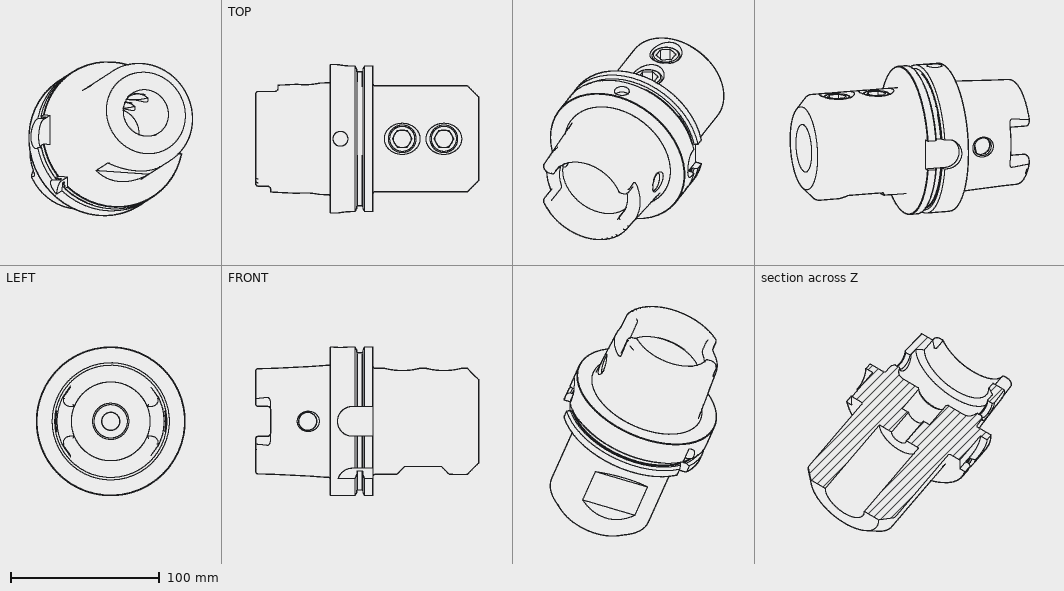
import cadquery as cq
import math


shank_length = 50.0
taper_big_radius = 75.46 / 2
taper_end_gap = 2.3
taper_slope = 1 / 20
shank_tip_radius = taper_big_radius - (shank_length - taper_end_gap) * taper_slope
tip_fillet = 1.75

face_recess_radius = 39.4
face_recess_depth = 0.1
shank_root_fillet = 1.1

flange_radius = 100.0 / 2
flange_width = 29.0
flange_edge_chamfer = 0.4
groove_center = 20.0
groove_outer_half_width = 3.25
groove_floor_half_width = 2.0
groove_flank_depth = 2.2
groove_floor_radius = 46.2
groove_floor_fillet = 0.4

nose_radius = 71.5 / 2
nose_end = 100.0
nose_chamfer = 7.75
nose_chamfer_blend = 1.0
nose_root_fillet = 1.0

mouth_radius = 53.0 / 2
clamp_recess_radius = 63.0 / 2
clamp_recess_start = -30.0
clamp_shoulder_angle = 60.0
pocket_floor_radius = 24.9
pocket_floor = -2.9

coolant_radius = 12.0 / 2
tube_thread_radius = 22.38 / 2
tube_thread_mouth_radius = 24.4 / 2
tube_thread_depth = 20.0
tool_bore_radius = 32.0 / 2
tool_bore_depth = 63.0

notch_half_width = 10.0
notch_corner_radius = 4.6
notch_corner_start = 27.3
notch_floor_fillet = 2.1
front_notch_depth = 10.0
back_notch_depth = 15.0

cross_hole_x = -15.0
cross_hole_radius = 12.0 / 2
cross_hole_mouth_radius = 14.9 / 2

slot_radius = 10.0
slot_center_x = 15.0
drive_slot_floor = 44.5
index_slot_floor = 32.0
index_slot_z = -41.5

chip_hole_x = 7.0
chip_hole_radius = 10.0 / 2
chip_hole_floor = 45.4

relief_floor_z = -30.5
relief_floor_start = 50.0
relief_floor_end = 75.0

screw_positions = (48.5, 76.5)
screw_radius = 20.0 / 2
screw_face_radius = 16.85 / 2
screw_top = 33.9
screw_hole_radius = 17.84 / 2
screw_sink_radius = 24.1 / 2
socket_width = 11.5
socket_depth = 10.0
socket_drill_radius = 12.0 / 2
socket_drill_angle = 118.0

margin = 5.0


def holder_blank():
    """Outer turned shape: taper shank, grooved flange and nose."""
    flank_radius = flange_radius - groove_flank_depth
    floor_flat = groove_floor_half_width - groove_floor_fillet
    chamfered_radius = flange_radius - flange_edge_chamfer
    outline = (
        cq.Workplane("XY")
        .moveTo(-shank_length, 0)
        .lineTo(-shank_length, shank_tip_radius)
        .lineTo(-taper_end_gap, taper_big_radius)
        .lineTo(face_recess_depth - shank_root_fillet, taper_big_radius)
        .radiusArc((face_recess_depth, taper_big_radius + shank_root_fillet), -shank_root_fillet)
        .lineTo(face_recess_depth, face_recess_radius)
        .lineTo(0, face_recess_radius)
        .lineTo(0, chamfered_radius)
        .lineTo(flange_edge_chamfer, flange_radius)
        .lineTo(groove_center - groove_outer_half_width, flange_radius)
        .lineTo(groove_center - groove_floor_half_width, flank_radius)
        .lineTo(groove_center - groove_floor_half_width, groove_floor_radius + groove_floor_fillet)
        .radiusArc((groove_center - floor_flat, groove_floor_radius), -groove_floor_fillet)
        .lineTo(groove_center + floor_flat, groove_floor_radius)
        .radiusArc(
            (groove_center + groove_floor_half_width, groove_floor_radius + groove_floor_fillet),
            -groove_floor_fillet,
        )
        .lineTo(groove_center + groove_floor_half_width, flank_radius)
        .lineTo(groove_center + groove_outer_half_width, flange_radius)
        .lineTo(flange_width - flange_edge_chamfer, flange_radius)
        .lineTo(flange_width, chamfered_radius)
        .lineTo(flange_width, nose_radius + nose_root_fillet)
        .radiusArc((flange_width + nose_root_fillet, nose_radius), -nose_root_fillet)
        .lineTo(nose_end - nose_chamfer, nose_radius)
        .lineTo(nose_end, nose_radius - nose_chamfer)
        .lineTo(nose_end, 0)
        .close()
    )
    blank = outline.revolve(360, (0, 0, 0), (1, 0, 0))
    nose_corner = cq.selectors.BoxSelector(
        (nose_end - nose_chamfer - 0.1, -flange_radius, -flange_radius),
        (nose_end - nose_chamfer + 0.1, flange_radius, flange_radius),
        boundingbox=True,
    )
    return blank.edges(nose_corner).fillet(nose_chamfer_blend)


def inner_bores():
    """Clamping bore, coolant passage and tool bore as one cutting shape."""
    shoulder_height = clamp_recess_radius - mouth_radius
    shoulder_length = shoulder_height / math.tan(math.radians(clamp_shoulder_angle))
    floor_fillet = clamp_recess_radius - pocket_floor_radius
    thread_lead = tube_thread_mouth_radius - tube_thread_radius
    thread_end = pocket_floor + tube_thread_depth
    tool_bore_floor = nose_end - tool_bore_depth
    outline = (
        cq.Workplane("XY")
        .moveTo(-shank_length, 0)
        .lineTo(-shank_length, mouth_radius)
        .lineTo(clamp_recess_start, mouth_radius)
        .lineTo(clamp_recess_start + shoulder_length, clamp_recess_radius)
        .lineTo(pocket_floor - floor_fillet, clamp_recess_radius)
        .radiusArc((pocket_floor, pocket_floor_radius), floor_fillet)
        .lineTo(pocket_floor, tube_thread_mouth_radius)
        .lineTo(pocket_floor + thread_lead, tube_thread_radius)
        .lineTo(thread_end, tube_thread_radius)
        .lineTo(thread_end, coolant_radius)
        .lineTo(tool_bore_floor, coolant_radius)
        .lineTo(tool_bore_floor, tool_bore_radius)
        .lineTo(nose_end, tool_bore_radius)
        .lineTo(nose_end, 0)
        .close()
    )
    return outline.revolve(360, (0, 0, 0), (1, 0, 0))


def driver_notch(depth, side):
    """Notch cut into the shank tip, opening outward to the given Y side (+1 or -1)."""
    flare_z = notch_half_width + notch_corner_radius
    flare_y = notch_corner_start + notch_corner_radius
    reach_y = flange_radius
    reach_z = flare_z + margin
    bore_y = mouth_radius / 2
    notch = (
        cq.Workplane("YZ", origin=(-shank_length - margin, 0, 0))
        .moveTo(bore_y, -notch_half_width)
        .lineTo(notch_corner_start, -notch_half_width)
        .radiusArc((flare_y, -flare_z), notch_corner_radius)
        .lineTo(flare_y, -reach_z)
        .lineTo(reach_y, -reach_z)
        .lineTo(reach_y, reach_z)
        .lineTo(flare_y, reach_z)
        .lineTo(flare_y, flare_z)
        .radiusArc((notch_corner_start, notch_half_width), notch_corner_radius)
        .lineTo(bore_y, notch_half_width)
        .close()
        .extrude(depth + margin)
        .faces(">X").edges().fillet(notch_floor_fillet)
    )
    return notch if side > 0 else notch.mirror("XZ")


def cross_hole():
    """Round hole along Y through both shank walls, countersunk at both surfaces of each wall."""
    surface_y = taper_big_radius + (cross_hole_x + taper_end_gap) * taper_slope
    inner_y = math.sqrt(clamp_recess_radius**2 - cross_hole_mouth_radius**2)
    lead = cross_hole_mouth_radius - cross_hole_radius
    half = [
        (0, inner_y),
        (cross_hole_mouth_radius, inner_y),
        (cross_hole_radius, inner_y + lead),
        (cross_hole_radius, surface_y - lead),
        (cross_hole_mouth_radius + margin, surface_y + margin),
        (0, surface_y + margin),
    ]
    drill = cq.Workplane("XY").polyline(half).close().revolve(360, (0, 0, 0), (0, 1, 0))
    return drill.add(drill.mirror("XZ")).combine().translate((cross_hole_x, 0, 0))


def rim_slot(floor_y, center_z, side):
    """Slot with a round end at -X, milled along Y into the flange rim down to floor_y."""
    reach = flange_radius + margin - floor_y
    round_end = (
        cq.Workplane("XZ", origin=(slot_center_x, 0, center_z))
        .circle(slot_radius)
        .extrude(-reach)
    )
    length = flange_width - slot_center_x
    straight = cq.Workplane("XY").box(length, reach, 2 * slot_radius, centered=(False, False, True))
    straight = straight.translate((slot_center_x, 0, center_z))
    slot = round_end.union(straight).translate((0, floor_y, 0))
    return slot if side > 0 else slot.mirror("XZ")


def chip_hole():
    """Blind radial hole in the top of the flange rim."""
    drill = cq.Workplane("XY", origin=(chip_hole_x, 0, chip_hole_floor)).circle(chip_hole_radius)
    return drill.extrude(flange_radius)


def nose_relief():
    """Flat with 45 degree ends across the underside of the nose."""
    drop = nose_radius + relief_floor_z + margin
    return (
        cq.Workplane("XZ")
        .moveTo(relief_floor_start, relief_floor_z)
        .lineTo(relief_floor_end, relief_floor_z)
        .lineTo(relief_floor_end + drop, relief_floor_z - drop)
        .lineTo(relief_floor_start - drop, relief_floor_z - drop)
        .close()
        .extrude(nose_radius, both=True)
    )


def upright(points, x):
    """Solid of revolution about a vertical axis at x from (radius, z) points."""
    return (
        cq.Workplane("XZ").polyline(points).close()
        .revolve(360, (0, 0, 0), (0, 1, 0)).translate((x, 0, 0))
    )


def screw_blank(x):
    """Chamfered screw body without its socket, reaching down to the tool bore."""
    chamfer = screw_radius - screw_face_radius
    return upright([
        (0, tool_bore_radius),
        (screw_radius, tool_bore_radius),
        (screw_radius, screw_top - chamfer),
        (screw_face_radius, screw_top),
        (0, screw_top),
    ], x)


def screw_hole(x):
    """Countersunk hole from the top of the nose into the tool bore."""
    sink_depth = screw_sink_radius - screw_hole_radius
    return upright([
        (0, 0),
        (screw_hole_radius, 0),
        (screw_hole_radius, nose_radius - sink_depth),
        (screw_sink_radius + margin, nose_radius + margin),
        (0, nose_radius + margin),
    ], x)


def clamping_screw(x):
    """Set screw with a hexagon socket that ends in a drill point."""
    socket_floor = screw_top - socket_depth
    point_depth = socket_drill_radius / math.tan(math.radians(socket_drill_angle / 2))
    hexagon = (
        cq.Workplane("XY", origin=(x, 0, socket_floor))
        .transformed(rotate=(0, 0, 30))
        .polygon(6, socket_width, circumscribed=True)
        .extrude(socket_depth)
    )
    drill_point = upright([
        (0, socket_floor - point_depth),
        (socket_drill_radius, socket_floor),
        (0, socket_floor),
    ], x)
    return screw_blank(x).cut(hexagon).cut(drill_point)


def holder_body():
    """Holder with all its bores, notches, slots and screw holes."""
    body = holder_blank().cut(inner_bores())
    body = body.cut(driver_notch(front_notch_depth, -1)).cut(driver_notch(back_notch_depth, 1))
    body = body.faces("<X").edges().fillet(tip_fillet)
    body = body.cut(cross_hole())
    for side in (-1, 1):
        body = body.cut(rim_slot(drive_slot_floor, 0, side))
    body = body.cut(rim_slot(index_slot_floor, index_slot_z, -1))
    body = body.cut(chip_hole()).cut(nose_relief())
    for x in screw_positions:
        body = body.cut(screw_hole(x)).cut(screw_blank(x))
    return body


holder = holder_body()
screws = [clamping_screw(x) for x in screw_positions]

result = cq.Compound.makeCompound([holder.val(), *[screw.val() for screw in screws]])